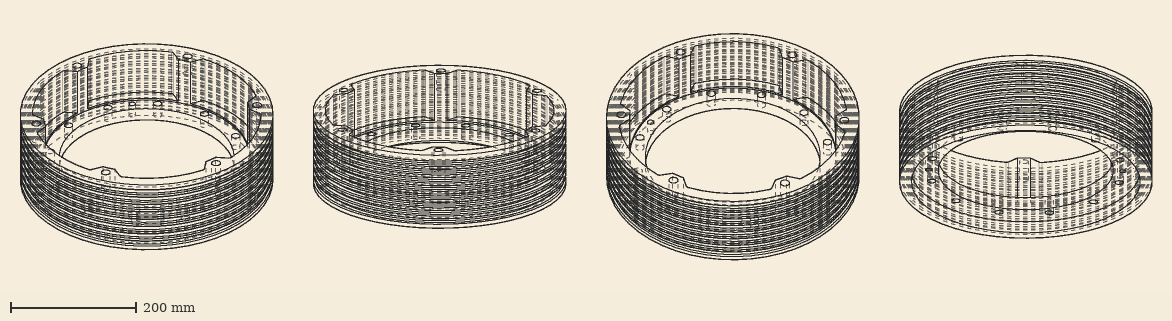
import cadquery as cq
import math

OUTER_RADIUS = 202.0
HEIGHT = 125.0

GROOVE_COUNT = 8
BOTTOM_GROOVE_HEIGHT = 11.7
TOP_GROOVE_DEPTH = 14.5
GROOVE_FLOOR_RADIUS = 191.0
GROOVE_FLOOR_WIDTH = 5.5
GROOVE_NECK_WIDTH = 6.5
MOUTH_CHAMFER_DEPTH = 3.2
MOUTH_CHAMFER_HEIGHT = 1.5

BORE_RADIUS = 139.8
CAVITY_RADIUS = 182.5
POCKET_DEPTH = 80.0
LEDGE_RADIUS = 165.0
LEDGE_DEPTH = 3.2
FLANGE_THICKNESS = 22.0

LUG_COUNT = 6
LUG_TIP_HALF_WIDTH = 10.0
LUG_FLANK_ANGLE = 45.0
LUG_ROOT_FILLET = 5.0
LUG_HOLE_CIRCLE_RADIUS = 178.0
LUG_HOLE_DIAMETER = 14.0
LUG_HOLE_DEPTH = 32.5
DRILL_POINT_ANGLE = 118.0

FLANGE_HOLE_CIRCLE_RADIUS = 155.0
BOLT_HOLE_COUNT = 12
BOLT_HOLE_DIAMETER = 13.5
FIRST_BOLT_ANGLE = 15.0
DOWEL_HOLE_DIAMETER = 10.0
DOWEL_ANGLES = (120.0, 300.0)

GROOVE_PITCH = (HEIGHT - BOTTOM_GROOVE_HEIGHT - TOP_GROOVE_DEPTH) / (GROOVE_COUNT - 1)
POCKET_FLOOR_Z = HEIGHT - POCKET_DEPTH
LEDGE_Z = POCKET_FLOOR_Z - LEDGE_DEPTH
FLANGE_BOTTOM_Z = LEDGE_Z - FLANGE_THICKNESS
LUG_ANGLES = [90 + index * 360 / LUG_COUNT for index in range(LUG_COUNT)]
BOLT_ANGLES = [FIRST_BOLT_ANGLE + index * 360 / BOLT_HOLE_COUNT for index in range(BOLT_HOLE_COUNT)]


def disc(radius, bottom_z, top_z):
    return cq.Workplane("XY").workplane(offset=bottom_z).circle(radius).extrude(top_z - bottom_z)


def polar_point(radius, angle):
    return (radius * math.cos(math.radians(angle)), radius * math.sin(math.radians(angle)))


def groove(center_z):
    """Ring-shaped cutter: a slightly tapered groove with a chamfered mouth."""
    half_floor = GROOVE_FLOOR_WIDTH / 2
    half_neck = GROOVE_NECK_WIDTH / 2
    half_mouth = half_neck + MOUTH_CHAMFER_HEIGHT
    neck_radius = OUTER_RADIUS - MOUTH_CHAMFER_DEPTH
    profile = [
        (GROOVE_FLOOR_RADIUS, center_z - half_floor),
        (neck_radius, center_z - half_neck),
        (OUTER_RADIUS, center_z - half_mouth),
        (OUTER_RADIUS, center_z + half_mouth),
        (neck_radius, center_z + half_neck),
        (GROOVE_FLOOR_RADIUS, center_z + half_floor),
    ]
    return cq.Workplane("XZ").polyline(profile).close().revolve(360, (0, 0, 0), (0, 1, 0))


def lug():
    """Lug on the +X axis: a flat-sided tip that flares out to the wall."""
    tip_x = math.sqrt(LEDGE_RADIUS**2 - LUG_TIP_HALF_WIDTH**2)
    flare = (OUTER_RADIUS - tip_x) * math.tan(math.radians(LUG_FLANK_ANGLE))
    root_half_width = LUG_TIP_HALF_WIDTH + flare
    outline = [
        (0, -LUG_TIP_HALF_WIDTH),
        (tip_x, -LUG_TIP_HALF_WIDTH),
        (OUTER_RADIUS, -root_half_width),
        (OUTER_RADIUS, root_half_width),
        (tip_x, LUG_TIP_HALF_WIDTH),
        (0, LUG_TIP_HALF_WIDTH),
    ]
    return cq.Workplane("XY").workplane(offset=POCKET_FLOOR_Z).polyline(outline).close().extrude(POCKET_DEPTH)


def pockets():
    """Spaces between the lugs, outside the ledge radius, with rounded outer corners."""
    ring = disc(CAVITY_RADIUS, POCKET_FLOOR_Z, HEIGHT).cut(disc(LEDGE_RADIUS, POCKET_FLOOR_Z, HEIGHT))
    for angle in LUG_ANGLES:
        ring = ring.cut(lug().rotate((0, 0, 0), (0, 0, 1), angle))
    middle_radius = (CAVITY_RADIUS + LEDGE_RADIUS) / 2
    outer_corners = [
        edge for edge in ring.edges("|Z").vals()
        if math.hypot(edge.Center().x, edge.Center().y) > middle_radius
    ]
    return ring.newObject(outer_corners).fillet(LUG_ROOT_FILLET)


def lug_hole(angle):
    """Blind hole from the top face with a conical drill point."""
    radius = LUG_HOLE_DIAMETER / 2
    point_depth = radius / math.tan(math.radians(DRILL_POINT_ANGLE / 2))
    shoulder_z = HEIGHT - LUG_HOLE_DEPTH
    drill = (
        cq.Workplane("XZ")
        .polyline([(0, HEIGHT), (radius, HEIGHT), (radius, shoulder_z), (0, shoulder_z - point_depth)])
        .close()
        .revolve(360, (0, 0, 0), (0, 1, 0))
    )
    x, y = polar_point(LUG_HOLE_CIRCLE_RADIUS, angle)
    return drill.translate((x, y, 0))


def flange_holes(diameter, angles):
    points = [polar_point(FLANGE_HOLE_CIRCLE_RADIUS, angle) for angle in angles]
    return cq.Workplane("XY").pushPoints(points).circle(diameter / 2).extrude(HEIGHT)


result = disc(OUTER_RADIUS, 0, HEIGHT)
result = result.cut(disc(BORE_RADIUS, 0, HEIGHT))
result = result.cut(disc(CAVITY_RADIUS, 0, FLANGE_BOTTOM_Z))
result = result.cut(disc(LEDGE_RADIUS, LEDGE_Z, HEIGHT))
result = result.cut(pockets())

for index in range(GROOVE_COUNT):
    result = result.cut(groove(BOTTOM_GROOVE_HEIGHT + index * GROOVE_PITCH))

for angle in LUG_ANGLES:
    result = result.cut(lug_hole(angle))

result = result.cut(flange_holes(BOLT_HOLE_DIAMETER, BOLT_ANGLES))
result = result.cut(flange_holes(DOWEL_HOLE_DIAMETER, DOWEL_ANGLES))